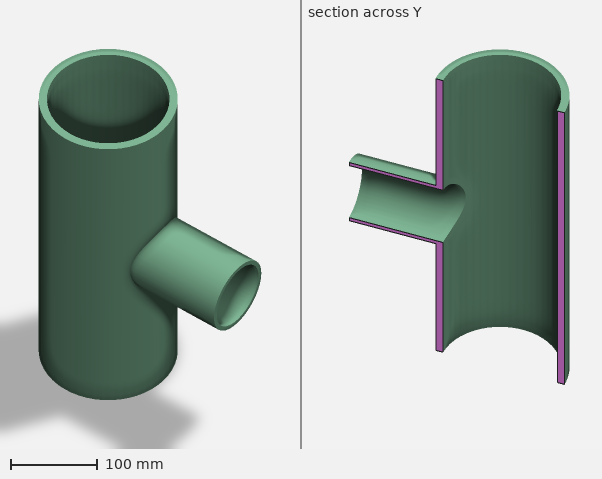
import cadquery as cq

main_diameter = 160.0
main_wall = 9.5
main_length = 417.0

branch_diameter = 90.0
branch_wall = 5.4
branch_reach = 187.0


def main_cylinder(diameter):
    """Upright cylinder over the full length of the main pipe."""
    return cq.Workplane("XY").circle(diameter / 2).extrude(main_length / 2, both=True)


def branch_cylinder(diameter):
    """Cylinder from the main pipe axis out to the end of the branch."""
    return cq.Workplane("YZ").circle(diameter / 2).extrude(branch_reach)


outer_body = main_cylinder(main_diameter).union(branch_cylinder(branch_diameter))
main_bore = main_cylinder(main_diameter - 2 * main_wall)
branch_bore = branch_cylinder(branch_diameter - 2 * branch_wall)

result = outer_body.cut(main_bore).cut(branch_bore)